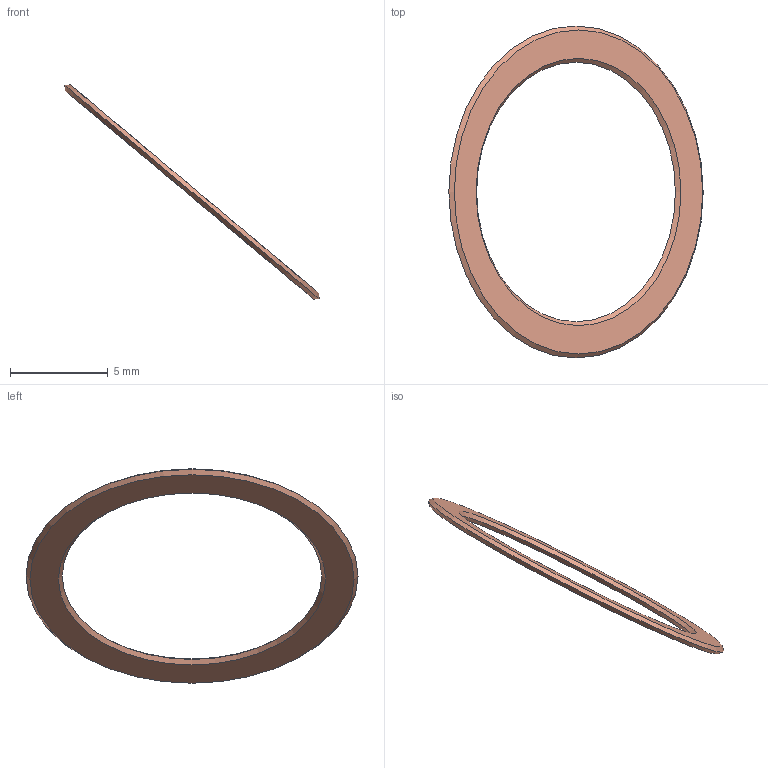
import cadquery as cq

outer_diameter = 16.95
inner_diameter = 13.25
thickness = 0.4
tilt_angle = 40.0

bevel = thickness / 2
outer_radius = outer_diameter / 2
inner_radius = inner_diameter / 2
face_outer_radius = outer_radius - bevel
face_inner_radius = inner_radius + bevel


def ring():
    """Revolve the six-sided section around the Z axis, centred on the origin."""
    half_thickness = thickness / 2
    section = (
        cq.Workplane("XZ")
        .moveTo(inner_radius, 0)
        .lineTo(face_inner_radius, -half_thickness)
        .lineTo(face_outer_radius, -half_thickness)
        .lineTo(outer_radius, 0)
        .lineTo(face_outer_radius, half_thickness)
        .lineTo(face_inner_radius, half_thickness)
        .close()
    )
    return section.revolve(360, (0, 0, 0), (0, 1, 0))


result = ring().rotate((0, 0, 0), (0, 1, 0), tilt_angle)